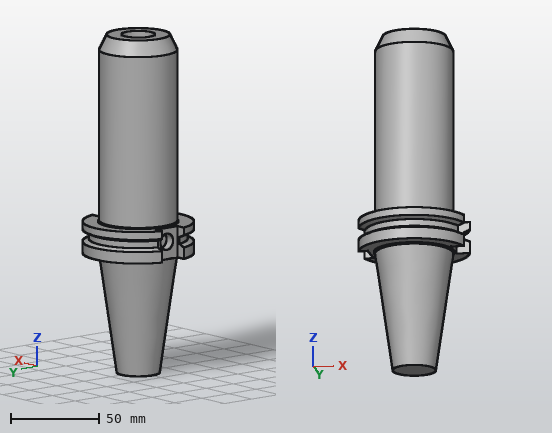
import cadquery as cq

total_height = 195.2
taper_height = 68.3
flange_bottom = 69.1
flange_top = 87.3
nose_height = 8.8

taper_tip_radius = 12.3
body_radius = 22.3
collar_radius = 22.8
nose_radius = 18.0
flange_radius = 31.6

groove_floor_radius = 28.1
groove_center = 79.3
groove_floor_width = 4.0
groove_mouth_width = 7.0

collar_height = 0.5

slot_width = 16.0
left_slot_floor = 25.2
right_slot_floor = 22.8

bore_radius = 9.5
bore_depth = 48.8
dimple_radius = 4.7
dimple_depth = 5.9


def turned_body():
    """Taper, grooved flange, cylindrical body and conical nose."""
    half_floor = groove_floor_width / 2
    half_mouth = groove_mouth_width / 2
    profile = [
        (0, 0),
        (taper_tip_radius, 0),
        (body_radius, taper_height),
        (collar_radius, flange_bottom),
        (flange_radius, flange_bottom),
        (flange_radius, groove_center - half_mouth),
        (groove_floor_radius, groove_center - half_floor),
        (groove_floor_radius, groove_center + half_floor),
        (flange_radius, groove_center + half_mouth),
        (flange_radius, flange_top),
        (collar_radius, flange_top),
        (body_radius, flange_top + collar_height),
        (body_radius, total_height - nose_height),
        (nose_radius, total_height),
        (0, total_height),
    ]
    return cq.Workplane("XZ").polyline(profile).close().revolve(360, (0, 0), (0, 1))


def drive_slot(floor, side):
    """Cutter from the slot floor out past the flange; side is -1 or +1 along X."""
    height = flange_top - flange_bottom
    return (
        cq.Workplane("XY")
        .box(flange_radius, slot_width, height, centered=(True, True, False))
        .translate((side * (floor + flange_radius / 2), 0, flange_bottom))
    )


def tool_bore():
    return (
        cq.Workplane("XY")
        .workplane(offset=total_height - bore_depth)
        .circle(bore_radius)
        .extrude(bore_depth)
    )


def slot_dimple():
    """Blind hole in the floor of the -X slot, level with the groove."""
    return (
        cq.Workplane("YZ")
        .workplane(offset=-left_slot_floor)
        .center(0, groove_center)
        .circle(dimple_radius)
        .extrude(dimple_depth)
    )


result = (
    turned_body()
    .cut(drive_slot(left_slot_floor, -1))
    .cut(drive_slot(right_slot_floor, 1))
    .cut(tool_bore())
    .cut(slot_dimple())
)